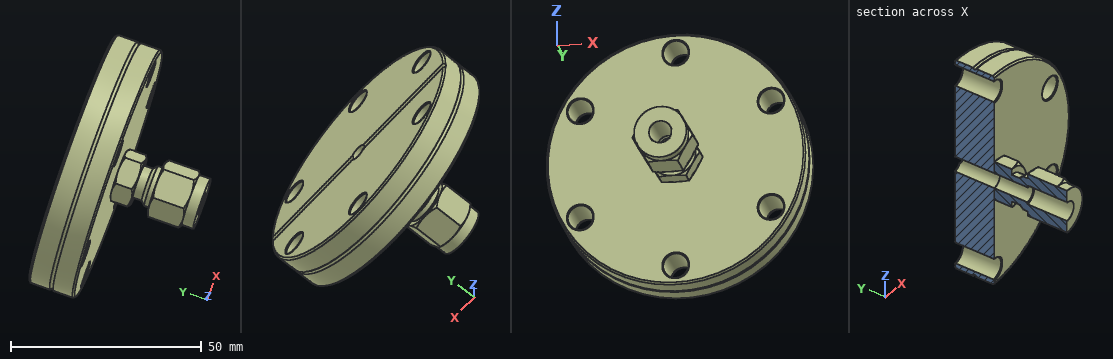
import cadquery as cq
import math


flange_diameter = 69.1
flange_thickness = 12.7
rim_chamfer = 0.5
rim_groove_radius = 0.5

bolt_count = 6
bolt_circle_diameter = 58.75
bolt_hole_diameter = 6.7
bolt_hole_chamfer = 0.3

leak_groove_radius = 1.4
leak_groove_depth = 0.6

body_hex_flats = 12.7
body_hex_length = 5.6
neck_diameter = 9.0
neck_length = 2.5
collar_diameter = 11.1
collar_cone_length = (collar_diameter - neck_diameter) / 2
collar_length = 1.45
nut_flats = 13.95
nut_hex_length = 9.6
total_length = 36.0
hex_chamfer_angle = 30.0

bore_diameter = 4.8
tube_socket_diameter = 6.0

body_hex_end = flange_thickness + body_hex_length
neck_end = body_hex_end + neck_length
cone_end = neck_end + collar_cone_length
collar_end = cone_end + collar_length
nut_hex_end = collar_end + nut_hex_length


def cylinder(diameter, start, end):
    """Cylinder along the axis between two distances in front of the back face."""
    return cq.Workplane("XZ", origin=(0, -start, 0)).circle(diameter / 2).extrude(end - start)


def revolve_profile(points):
    """Solid of revolution about Y from (radius, distance in front of the back face) points."""
    outline = [(radius, -distance) for radius, distance in points]
    return cq.Workplane("XY").polyline(outline).close().revolve(360, (0, 0, 0), (0, 1, 0))


def chamfered_hexagon(flats, start, end):
    """Hexagon with corners on the X axis, its corners turned off conically at both ends."""
    corner_diameter = flats / math.cos(math.pi / 6)
    prism = (
        cq.Workplane("XZ", origin=(0, -start, 0))
        .polygon(6, corner_diameter)
        .extrude(end - start)
    )
    corner_radius = corner_diameter / 2
    end_radius = flats / 2
    cone_length = (corner_radius - end_radius) * math.tan(math.radians(hex_chamfer_angle))
    envelope = revolve_profile([
        (0, start),
        (end_radius, start),
        (corner_radius, start + cone_length),
        (corner_radius, end - cone_length),
        (end_radius, end),
        (0, end),
    ])
    return prism.intersect(envelope)


def bolt_hole_cutter():
    """Through hole on the axis, with a chamfer at both flange faces."""
    hole_radius = bolt_hole_diameter / 2
    mouth_radius = hole_radius + bolt_hole_chamfer
    return revolve_profile([
        (0, 0),
        (mouth_radius, 0),
        (hole_radius, bolt_hole_chamfer),
        (hole_radius, flange_thickness - bolt_hole_chamfer),
        (mouth_radius, flange_thickness),
        (0, flange_thickness),
    ])


def make_flange():
    disc = cylinder(flange_diameter, 0, flange_thickness).edges().chamfer(rim_chamfer)

    rim_groove = (
        cq.Workplane("XY")
        .center(flange_diameter / 2, -flange_thickness / 2)
        .circle(rim_groove_radius)
        .revolve(360, (-flange_diameter / 2, 0, 0), (-flange_diameter / 2, 1, 0))
    )
    disc = disc.cut(rim_groove)

    for index in range(bolt_count):
        angle = index * 360 / bolt_count
        hole = bolt_hole_cutter().translate((0, 0, bolt_circle_diameter / 2))
        disc = disc.cut(hole.rotate((0, 0, 0), (0, 1, 0), angle))

    leak_groove = (
        cq.Workplane("YZ")
        .center(leak_groove_radius - leak_groove_depth, 0)
        .circle(leak_groove_radius)
        .extrude(flange_diameter / 2, both=True)
    )
    disc = disc.cut(leak_groove)

    return disc.cut(cylinder(bore_diameter, 0, flange_thickness))


def make_fitting():
    stem = revolve_profile([
        (0, flange_thickness),
        (neck_diameter / 2, flange_thickness),
        (neck_diameter / 2, neck_end),
        (collar_diameter / 2, cone_end),
        (collar_diameter / 2, collar_end),
        (0, collar_end),
    ])
    fitting = (
        stem
        .union(chamfered_hexagon(body_hex_flats, flange_thickness, body_hex_end))
        .union(chamfered_hexagon(nut_flats, collar_end, nut_hex_end))
        .union(cylinder(nut_flats, nut_hex_end, total_length))
    )

    bore = cylinder(bore_diameter, flange_thickness, total_length)
    tube_socket = cylinder(tube_socket_diameter, collar_end, total_length)
    return fitting.cut(bore).cut(tube_socket)


flange = make_flange()
fitting = make_fitting()

result = cq.Compound.makeCompound([flange.solids().val(), fitting.solids().val()])